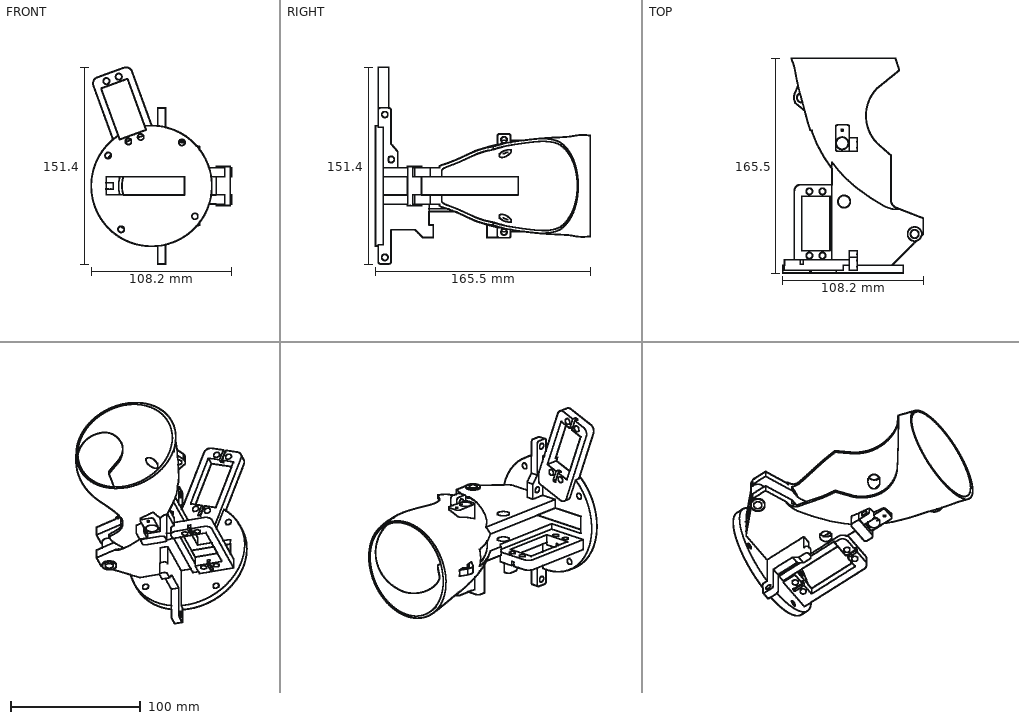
import cadquery as cq
import math

LENGTH = 165.5
FAR = 165.5

DISC_RADIUS = 46.5
DISC_THICKNESS = 6.1
SLOT_X = (-34.9, 25.3)
SLOT_HALF_HEIGHT = 7.0
SLOT_END_Y = 109.9
SLOT_POCKET_Y = 3.5
SCREW_RADIUS = 2.3
DISC_SCREW_COUNT = 4
DISC_SCREW_CIRCLE = 40.7
DISC_SCREW_ANGLE = 55.0

SERVO_THICKNESS = 8.3
SERVO_WINDOW_WIDTH, SERVO_WINDOW_LENGTH = 21.5, 41.7
SERVO_HOLE_PITCH, SERVO_HOLE_SPAN = 10.1, 49.5
SERVO_END = 30.0
SERVO_CORNER = 5.0
GROOVE_WIDTH, GROOVE_DEPTH = 2.3, 3.5
TILT = math.radians(20)
TILTED_DISTANCE = 62.9
TILTED_FRONT_Y = 2.2
TILTED_LEFT, TILTED_RIGHT, TILTED_NEAR = 15.7, 16.0, 40.7
FLAT_CENTRE_X, FLAT_CENTRE_Y = -20.8, 38.2
FLAT_TOP_Z = -11.4
FLAT_LEFT, FLAT_RIGHT = 16.7, 16.0
FLAT_RAIL_BOTTOM = -17.7
FLAT_NEAR = FLAT_CENTRE_Y - 0.8

PLATE_INNER, PLATE_OUTER = SLOT_HALF_HEIGHT, 14.0
PLATE_LEFT, PLATE_RIGHT = -8.6, 61.7
PLATE_FOOT_X = 37.9
PLATE_HOLE = (0.8, 55.1)
BIG_HOLE_RADIUS = 4.6
PIVOT = (55.1, 30.1)
PIVOT_RADIUS, PIVOT_HOLE_RADIUS = 5.5, 3.1
PIVOT_HALF_HEIGHT = 15.0

WALL = 2.0
SHELL_SECTIONS = [
    (49.1, 27.5, 61.5, 14.9),
    (57.5, 11.5, 69.5, 18.5),
    (69.2, -0.8, 69.5, 23.5),
    (85.2, -13.2, 69.5, 30.0),
    (99.3, -21.2, 66.2, 33.0),
    (115.8, -27.1, 59.5, 35.4),
    (132.4, -31.6, 52.8, 37.0),
    (148.9, -35.7, 46.2, 38.2),
    (LENGTH, -40.0, 40.4, 38.9),
]

OPENING_LEFT, OPENING_Y = 17.7, 121.1
SCOOP_REACH, SCOOP_DEPTH = 21.0, 8.5
OPENING_TIP = (43.5, 156.2)
STEP_X, STEP_TOP, STEP_BOTTOM = 36.9, 90.7, 56.5
LIP_BEND = (38.2, 52.5)
LIP_START = (41.5, 50.1)
LIP_END_Y = 42.4

CLIP_X, CLIP_Y = (-5.8, 5.0), (93.8, 114.0)
CLIP_TOP = 35.2
CLIP_HOLE, CLIP_PIN = (-0.7, 100.0), (-0.7, 110.0)
PIN_RADIUS, PIN_DEPTH = 0.8, 5.0
LUG_X = (4.6, 10.8)
CLIP_LUG_Y, CLIP_LUG_TOP = (CLIP_Y[0], 104.0), 40.0
CLIP_LUG_HOLE = (99.0, 35.4)
EDGE_ROUND = 1.7

DISC_LUG_FRONT, DISC_LUG_BACK, DISC_LUG_WIDE_BACK = 2.2, 12.0, 17.2
DISC_LUG_TOP, DISC_LUG_SLOPE_TOP, DISC_LUG_SLOPE_BOTTOM = 60.0, 32.5, 26.5
DISC_LUG_HOLES = [(7.3, 55.0), (12.0, 20.4)]

POST_BOTTOM = -39.7
POST_ROUND = 2.2
REAR_POST_Y = (85.7, 94.0)
WALL_BACK_Y, WALL_BOTTOM, WALL_SLOPE_Y = 41.4, -33.8, 30.5
FRONT_POST_Y, FRONT_POST_TOP = (36.4, 44.7), -30.0

EYE_CENTRE = (-31.8, 135.0)
EYE_RADIUS, EYE_HOLE_RADIUS, EYE_HALF_HEIGHT = 6.1, 3.6, 2.5
EYE_WEB = [(-33.9, 146.0), (-37.4, 138.0), (-37.0, 131.0), (-29.1, 124.6), (-19.9, 132.4)]


def block(x, y, z):
    """Box between pairs of limits."""
    size = (x[1] - x[0], y[1] - y[0], z[1] - z[0])
    return cq.Workplane("XY").box(*size, centered=False).translate((x[0], y[0], z[0]))


def upright_cylinder(centre, radius, bottom=-FAR, top=FAR):
    return cq.Workplane("XY", origin=(*centre, bottom)).circle(radius).extrude(top - bottom)


def side_profile(points):
    """Extrude a (y, z) outline across the width of the lugs."""
    plane = cq.Workplane("YZ", origin=(LUG_X[0], 0, 0))
    return plane.polyline(points).close().extrude(LUG_X[1] - LUG_X[0])


def lug_hole(y, z):
    """Screw hole along X through a lug."""
    plane = cq.Workplane("YZ", origin=(LUG_X[0], y, z))
    return plane.circle(SCREW_RADIUS).extrude(LUG_X[1] - LUG_X[0])


def mirrored(shape):
    """A shape together with its mirror image below z = 0."""
    return shape.union(shape.mirror("XY"))


def servo_blank(plane, left, right, near, height):
    """Rounded slab raised from the plane, which has the window centre as its origin."""
    return (
        cq.Workplane(plane)
        .center((right - left) / 2, (SERVO_END - near) / 2)
        .rect(left + right, SERVO_END + near)
        .extrude(height)
        .edges(cq.selectors.ParallelDirSelector(plane.zDir))
        .fillet(SERVO_CORNER)
    )


def servo_openings(plane):
    """Window, four screw holes and the groove along the back of both ends."""
    base = cq.Workplane(plane)
    reach = 2 * SERVO_THICKNESS
    window = base.rect(SERVO_WINDOW_WIDTH, SERVO_WINDOW_LENGTH).extrude(reach, both=True)
    holes = (
        base.rect(SERVO_HOLE_PITCH, SERVO_HOLE_SPAN, forConstruction=True)
        .vertices()
        .circle(SCREW_RADIUS)
        .extrude(reach, both=True)
    )
    back = base.workplane(offset=-SERVO_THICKNESS)
    groove = back.rect(GROOVE_WIDTH, 2 * SERVO_END).extrude(GROOVE_DEPTH)
    return window.union(holes).union(groove)


def disc_screws():
    return (
        cq.Workplane("XZ")
        .polarArray(DISC_SCREW_CIRCLE, DISC_SCREW_ANGLE, 360, DISC_SCREW_COUNT)
        .circle(SCREW_RADIUS)
        .extrude(-DISC_THICKNESS)
    )


def side_plate():
    """Upper side plate, running from the disc up into the shell."""
    return (
        cq.Workplane("XY", origin=(0, 0, PLATE_INNER))
        .moveTo(PLATE_LEFT, 0)
        .lineTo(PLATE_FOOT_X, 0)
        .lineTo(PLATE_FOOT_X, DISC_THICKNESS)
        .lineTo(PLATE_RIGHT, PIVOT[1])
        .lineTo(PLATE_RIGHT, LIP_END_Y)
        .lineTo(*LIP_START)
        .lineTo(STEP_X, STEP_BOTTOM)
        .lineTo(PLATE_LEFT, REAR_POST_Y[1])
        .close()
        .extrude(PLATE_OUTER - PLATE_INNER)
    )


def shell_solid(inset):
    """Loft through the elliptical sections, each drawn in by the inset."""
    wires = []
    for y, left, right, half_height in SHELL_SECTIONS:
        half_width = (right - left) / 2
        plane = cq.Workplane("XZ", origin=((left + right) / 2, y, 0))
        wires.append(plane.ellipse(half_width - inset, half_height - inset).wires().val())
    return cq.Workplane(cq.Solid.makeLoft(wires))


def side_opening():
    """Scoop and step cut through the full height on the right of the shell."""
    scoop_x = OPENING_LEFT + SCOOP_DEPTH
    return (
        cq.Workplane("XY", origin=(0, 0, -FAR))
        .moveTo(FAR, OPENING_TIP[1])
        .lineTo(*OPENING_TIP)
        .lineTo(scoop_x, OPENING_Y + SCOOP_REACH)
        .threePointArc((OPENING_LEFT, OPENING_Y), (scoop_x, OPENING_Y - SCOOP_REACH))
        .lineTo(STEP_X, STEP_TOP)
        .lineTo(STEP_X, STEP_BOTTOM)
        .threePointArc(LIP_BEND, LIP_START)
        .lineTo(PLATE_RIGHT, LIP_END_Y)
        .lineTo(FAR, LIP_END_Y)
        .close()
        .extrude(2 * FAR)
    )


def clip():
    """Upper clip block with its pin hole, and the lug beside it."""
    body = block(CLIP_X, CLIP_Y, (0, CLIP_TOP)).edges("|Z").edges("<X or >Y").fillet(EDGE_ROUND)
    lug = block(LUG_X, CLIP_LUG_Y, (0, CLIP_LUG_TOP)).edges("|X and >Z").fillet(EDGE_ROUND)
    pin_hole = upright_cylinder(CLIP_PIN, PIN_RADIUS, CLIP_TOP - PIN_DEPTH, CLIP_TOP)
    return body.union(lug).cut(pin_hole).cut(lug_hole(*CLIP_LUG_HOLE))


def disc_lug():
    """Upper lug on the disc with its two cross holes."""
    outline = [
        (DISC_LUG_FRONT, PLATE_OUTER),
        (DISC_LUG_FRONT, DISC_LUG_TOP),
        (DISC_LUG_BACK, DISC_LUG_TOP),
        (DISC_LUG_BACK, DISC_LUG_SLOPE_TOP),
        (DISC_LUG_WIDE_BACK, DISC_LUG_SLOPE_BOTTOM),
        (DISC_LUG_WIDE_BACK, PLATE_OUTER),
    ]
    lug = side_profile(outline).edges("|X and >Z").fillet(EDGE_ROUND)
    for y, z in DISC_LUG_HOLES:
        lug = lug.cut(lug_hole(y, z))
    return lug


def rear_post():
    """Post hanging below the shell."""
    post = block((PLATE_LEFT, LUG_X[1]), REAR_POST_Y, (POST_BOTTOM, -PLATE_OUTER))
    return post.edges("|Z").fillet(POST_ROUND)


def front_post():
    """Wall under the lower plate, ending in a post that hangs lower."""
    post_front, post_back = FRONT_POST_Y
    outline = [
        (DISC_THICKNESS, -PLATE_OUTER),
        (WALL_BACK_Y, -PLATE_OUTER),
        (WALL_BACK_Y, FRONT_POST_TOP),
        (post_back, FRONT_POST_TOP),
        (post_back, POST_BOTTOM),
        (post_front, POST_BOTTOM),
        (WALL_SLOPE_Y, WALL_BOTTOM),
        (DISC_THICKNESS, WALL_BOTTOM),
    ]
    return side_profile(outline).edges("|Z and >Y").fillet(POST_ROUND)


def cable_eye():
    """Ring joined to the shell by a web."""
    eye = upright_cylinder(EYE_CENTRE, EYE_RADIUS, -EYE_HALF_HEIGHT, EYE_HALF_HEIGHT)
    plane = cq.Workplane("XY", origin=(0, 0, -EYE_HALF_HEIGHT))
    web = plane.polyline(EYE_WEB).close().extrude(2 * EYE_HALF_HEIGHT)
    return eye.union(web).cut(upright_cylinder(EYE_CENTRE, EYE_HOLE_RADIUS))


everywhere = (-FAR, FAR)
slot_z = (-SLOT_HALF_HEIGHT, SLOT_HALF_HEIGHT)
forearm = (
    shell_solid(0)
    .union(mirrored(side_plate()))
    .union(mirrored(clip()))
    .union(rear_post())
    .union(front_post())
    .union(cable_eye())
    .cut(shell_solid(WALL).translate((0, WALL, 0)))
    .cut(side_opening())
    .cut(block(everywhere, (DISC_THICKNESS, SLOT_END_Y), slot_z))
    .cut(upright_cylinder(CLIP_HOLE, BIG_HOLE_RADIUS))
    .cut(upright_cylinder(PLATE_HOLE, BIG_HOLE_RADIUS))
    .union(upright_cylinder(PIVOT, PIVOT_RADIUS, -PIVOT_HALF_HEIGHT, PIVOT_HALF_HEIGHT))
    .cut(upright_cylinder(PIVOT, PIVOT_HOLE_RADIUS))
)

tilted_plane = cq.Plane(
    origin=(-TILTED_DISTANCE * math.sin(TILT), TILTED_FRONT_Y, TILTED_DISTANCE * math.cos(TILT)),
    xDir=(math.cos(TILT), 0, math.sin(TILT)),
    normal=(0, -1, 0),
)
disc = (
    cq.Workplane("XZ")
    .circle(DISC_RADIUS)
    .extrude(-DISC_THICKNESS)
    .union(servo_blank(tilted_plane, TILTED_LEFT, TILTED_RIGHT, TILTED_NEAR, -SERVO_THICKNESS))
    .cut(servo_openings(tilted_plane))
    .union(mirrored(disc_lug()))
)

flat_plane = cq.Plane(origin=(FLAT_CENTRE_X, FLAT_CENTRE_Y, FLAT_TOP_Z), xDir=(1, 0, 0), normal=(0, 0, 1))
flat_sides = (FLAT_LEFT, FLAT_RIGHT, FLAT_NEAR)
flat_frame = servo_blank(flat_plane, *flat_sides, -SERVO_THICKNESS).cut(servo_openings(flat_plane))
window_right = FLAT_CENTRE_X + SERVO_WINDOW_WIDTH / 2
window_back = FLAT_CENTRE_Y + SERVO_WINDOW_LENGTH / 2
flat_frame = flat_frame.cut(
    block((window_right, FAR), (DISC_THICKNESS, window_back), (-FAR, FLAT_RAIL_BOTTOM))
)
behind_disc = block(everywhere, (DISC_THICKNESS, FAR), everywhere)
clearance = servo_blank(flat_plane, *flat_sides, SERVO_THICKNESS).intersect(behind_disc)

result = (
    forearm.cut(clearance)
    .union(flat_frame)
    .union(disc)
    .cut(block(SLOT_X, (0, DISC_THICKNESS), slot_z))
    .cut(block((SLOT_X[1], PLATE_FOOT_X), (SLOT_POCKET_Y, DISC_THICKNESS), slot_z))
    .cut(disc_screws())
    .clean()
)